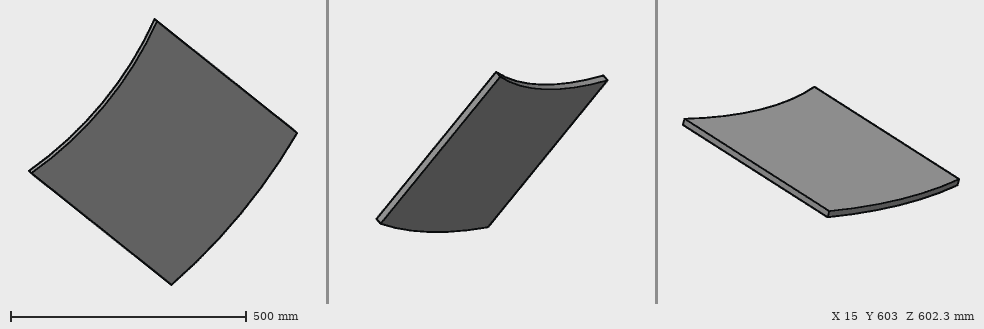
import cadquery as cq
import math

thickness = 15.0
chord = 420.0
width = 603.0
hollow_depth = 32.0
bulge_height = 19.5
tilt = 42.8

side_y = math.cos(math.radians(tilt))
side_z = -math.sin(math.radians(tilt))
chord_y = -side_z
chord_z = side_y

side_length = (width - chord * chord_y) / side_y


def plate_point(along_side, along_chord):
    """Return (Y, Z) measured from the centre of the plate's four corners."""
    return (
        along_side * side_y + along_chord * chord_y,
        along_side * side_z + along_chord * chord_z,
    )


half_side = side_length / 2
half_chord = chord / 2

result = (
    cq.Workplane("YZ")
    .moveTo(*plate_point(-half_side, -half_chord))
    .threePointArc(plate_point(-half_side + hollow_depth, 0), plate_point(-half_side, half_chord))
    .lineTo(*plate_point(half_side, half_chord))
    .threePointArc(plate_point(half_side + bulge_height, 0), plate_point(half_side, -half_chord))
    .close()
    .extrude(thickness / 2, both=True)
)